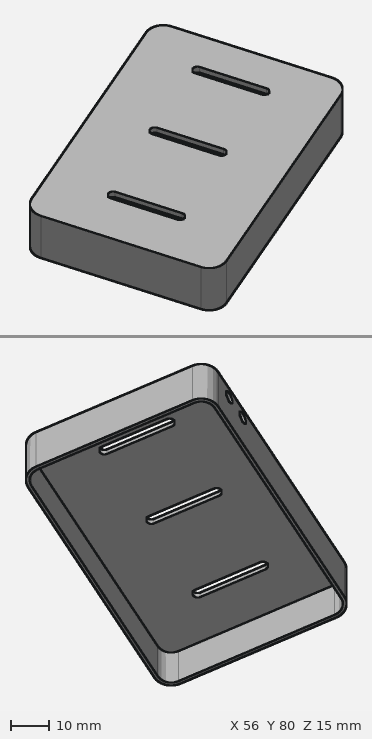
import cadquery as cq

LENGTH_X = 56.0
LENGTH_Y = 80.0
HEIGHT = 15.0
CORNER_RADIUS = 5.0
WALL = 1.0
ROOF = 2.0

SLOT_LENGTH = 21.85
SLOT_WIDTH = 2.65
SLOT_CENTRES = [(-0.2, 27.7), (-0.4, 2.0), (0.2, -24.8)]

SIDE_HOLE_DIAMETER = 3.5
SIDE_HOLE_Z = 11.25
SIDE_HOLE_Y_POSITIONS = [21.4, 28.9]


def rounded_block(size_x, size_y, height, radius):
    """Block standing on Z = 0 with rounded vertical edges."""
    block = cq.Workplane("XY").box(size_x, size_y, height, centered=(True, True, False))
    return block.edges("|Z").fillet(radius)


def make_shell():
    """Constant-thickness walls and a flat roof around an open cavity."""
    outside = rounded_block(LENGTH_X, LENGTH_Y, HEIGHT, CORNER_RADIUS)
    cavity = rounded_block(
        LENGTH_X - 2 * WALL,
        LENGTH_Y - 2 * WALL,
        HEIGHT - ROOF,
        CORNER_RADIUS - WALL,
    )
    return outside.cut(cavity)


def make_roof_slots():
    """Round-ended cutters that pass through the roof."""
    slots = cq.Workplane("XY").pushPoints(SLOT_CENTRES)
    return slots.slot2D(SLOT_LENGTH, SLOT_WIDTH).extrude(HEIGHT)


def make_side_holes():
    """Cylindrical cutters along X, from the -X face to the middle of the cavity."""
    centres = [(y, SIDE_HOLE_Z) for y in SIDE_HOLE_Y_POSITIONS]
    holes = cq.Workplane("YZ", origin=(-LENGTH_X / 2, 0, 0)).pushPoints(centres)
    return holes.circle(SIDE_HOLE_DIAMETER / 2).extrude(LENGTH_X / 2)


result = make_shell().cut(make_roof_slots()).cut(make_side_holes())